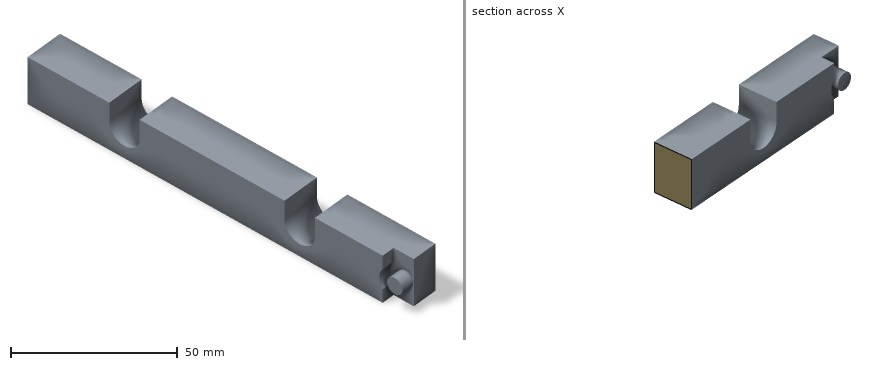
import cadquery as cq

length = 150.0
depth = 14.7
height = 18.3
front_y = -depth / 2

slot_width = 12.2
slot_depth = 13.5
slot_centers_x = (38.7, 108.8)

lap_length = 8.1
lap_depth = 5.0
pin_diameter = 6.2
pin_x = length - 3.3
clearance_radius = 6.2


def cylinder_in_lap(radius):
    """Cylinder on the pin axis, from the lap floor to the front face."""
    return (
        cq.Workplane("XZ", origin=(pin_x, front_y + lap_depth, 0))
        .circle(radius)
        .extrude(lap_depth)
    )


def slot_cutter(center_x):
    """Vertical slot with a half-round bottom, running through in Y."""
    radius = slot_width / 2
    top_z = height / 2
    arc_z = top_z - slot_depth + radius
    return (
        cq.Workplane("XZ")
        .moveTo(center_x - radius, top_z)
        .lineTo(center_x - radius, arc_z)
        .threePointArc((center_x, arc_z - radius), (center_x + radius, arc_z))
        .lineTo(center_x + radius, top_z)
        .close()
        .extrude(depth / 2, both=True)
    )


def lap_cutter():
    """Stepped recess with a round clearance pocket behind the pin."""
    step = cq.Workplane("XY").box(lap_length, lap_depth, height, centered=(False, False, True))
    step = step.translate((length - lap_length, front_y, 0))
    return step.union(cylinder_in_lap(clearance_radius))


result = cq.Workplane("XY").box(length, depth, height, centered=(False, True, True))
for slot_x in slot_centers_x:
    result = result.cut(slot_cutter(slot_x))
result = result.cut(lap_cutter())
result = result.union(cylinder_in_lap(pin_diameter / 2))